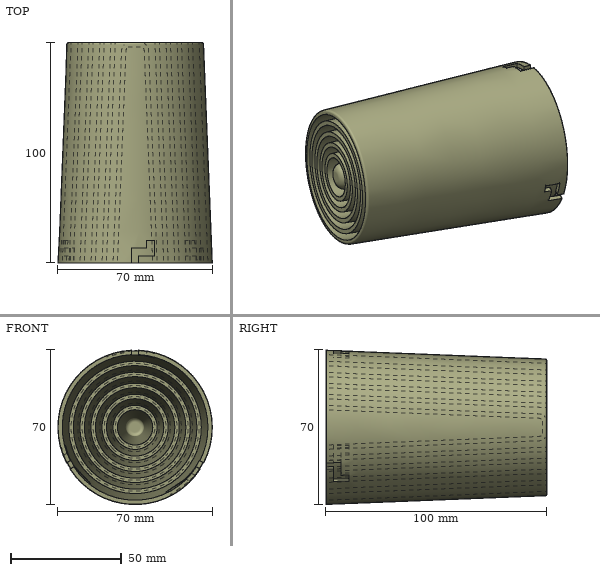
import cadquery as cq

LENGTH = 100.0
WALL = 2.0
TAPER = 4.0
HANDLE_RADIUS = 35.0
SECTION_PITCH = 5.0
FIRST_SECTION_RADIUS = HANDLE_RADIUS - SECTION_PITCH
OPEN_SECTION_COUNT = 4
TIP_RADIUS = FIRST_SECTION_RADIUS - OPEN_SECTION_COUNT * SECTION_PITCH

HANDLE_EDGE_FILLET = 1.0
TIP_FILLET = 3.8

SLOT_COUNT = 3
SLOT_WIDTH = 3.5
ENTRY_WIDTH = 3.2
SLOT_TRAVEL = 7.0
SLOT_RIM_GAP = 3.3
SEAT_DEPTH = 3.5

FRONT_Y = -LENGTH / 2
BACK_Y = LENGTH / 2


def revolve_about_y(profile):
    return profile.close().revolve(360, (0, 0, 0), (0, 1, 0))


def open_tube(front_radius):
    """Conical tube open at both ends, given by its outer radius at the wide end."""
    back_radius = front_radius - TAPER
    profile = (
        cq.Workplane("XY")
        .moveTo(front_radius - WALL, FRONT_Y)
        .lineTo(front_radius, FRONT_Y)
        .lineTo(back_radius, BACK_Y)
        .lineTo(back_radius - WALL, BACK_Y)
    )
    return revolve_about_y(profile)


def solid_cone(front_radius, back_radius, back_y):
    profile = (
        cq.Workplane("XY")
        .moveTo(0, FRONT_Y)
        .lineTo(front_radius, FRONT_Y)
        .lineTo(back_radius, back_y)
        .lineTo(0, back_y)
    )
    return revolve_about_y(profile)


def closed_tip():
    """Innermost tube, closed at the narrow end by a wall with rounded edges."""
    cavity_back_y = BACK_Y - WALL
    cavity_front_radius = TIP_RADIUS - WALL
    cavity_back_radius = cavity_front_radius - TAPER * (LENGTH - WALL) / LENGTH
    outside = solid_cone(TIP_RADIUS, TIP_RADIUS - TAPER, BACK_Y)
    outside = outside.faces(">Y").edges().fillet(TIP_FILLET)
    cavity = solid_cone(cavity_front_radius, cavity_back_radius, cavity_back_y)
    cavity = cavity.faces(">Y").edges().fillet(TIP_FILLET - WALL)
    return outside.cut(cavity)


def bayonet_slot():
    """Stepped cutter through the handle wall on the +Z side."""
    run_front_y = FRONT_Y + SLOT_RIM_GAP
    run_back_y = run_front_y + SLOT_WIDTH
    seat_left_x = SLOT_TRAVEL - SLOT_WIDTH / 2
    seat_right_x = SLOT_TRAVEL + SLOT_WIDTH / 2
    return (
        cq.Workplane("XY")
        .moveTo(-ENTRY_WIDTH / 2, FRONT_Y)
        .lineTo(ENTRY_WIDTH / 2, FRONT_Y)
        .lineTo(ENTRY_WIDTH / 2, run_front_y)
        .lineTo(seat_right_x, run_front_y)
        .lineTo(seat_right_x, run_back_y + SEAT_DEPTH)
        .lineTo(seat_left_x, run_back_y + SEAT_DEPTH)
        .lineTo(seat_left_x, run_back_y)
        .lineTo(-ENTRY_WIDTH / 2, run_back_y)
        .close()
        .extrude(HANDLE_RADIUS)
    )


def slotted_handle():
    """Outermost tube with a rounded narrow rim and bayonet slots at the wide rim."""
    handle = open_tube(HANDLE_RADIUS)
    narrow_outer_rim = handle.faces(">Y").edges(cq.selectors.RadiusNthSelector(-1))
    handle = handle.newObject(narrow_outer_rim.vals()).fillet(HANDLE_EDGE_FILLET)
    slot = bayonet_slot()
    for index in range(SLOT_COUNT):
        angle = index * 360 / SLOT_COUNT
        handle = handle.cut(slot.rotate((0, 0, 0), (0, 1, 0), angle))
    return handle


handle = slotted_handle()
sections = [open_tube(FIRST_SECTION_RADIUS - i * SECTION_PITCH) for i in range(OPEN_SECTION_COUNT)]
tip = closed_tip()

result = cq.Compound.makeCompound([handle.val(), *[section.val() for section in sections], tip.val()])